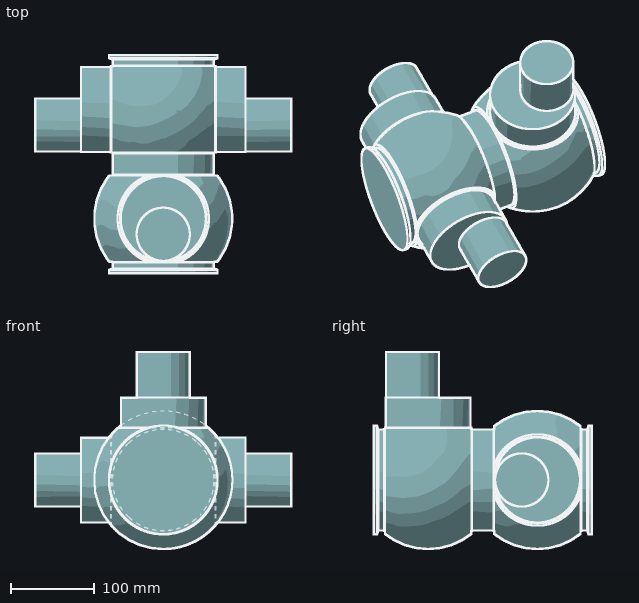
import cadquery as cq

BODY_LENGTH = 130.265
SPHERE_RADIUS = 82.55
SPHERE_WIDTH = 103.2
NECK_RADIUS = 60.4

COLLAR_HEIGHT = 0.9
NECK_COLLAR_STEP = 0.25
DRUM_COLLAR_STEP = 0.8

FLANGE_RADIUS = 65.0
FLANGE_RIM = 4.0
FLANGE_TAPER = 1.6

SPHERE_FLAT = 61.95
DRUM_RADIUS = 50.8
DRUM_END = 98.2
SHAFT_RADIUS = 31.75
SHAFT_END = 152.78
SHAFT_OFFSET = 18.6

FRONT_Y = -BODY_LENGTH / 2
BACK_Y = BODY_LENGTH / 2


def cylinder_from_center(center_y, direction, radius, length):
    """Solid cylinder running from (0, center_y, 0) along direction."""
    return cq.Workplane(
        cq.Solid.makeCylinder(radius, length, cq.Vector(0, center_y, 0), cq.Vector(*direction))
    )


def sphere_body(center_y, flat_directions):
    """Sphere cut flat at both Y ends and under each branch, with a neck collar on the Y flats."""
    sphere = cq.Workplane("XY").sphere(SPHERE_RADIUS)
    size = 2 * SPHERE_RADIUS
    body = sphere.intersect(cq.Workplane("XY").box(size, SPHERE_WIDTH, size))
    for direction in flat_directions:
        shift = tuple(component * (SPHERE_FLAT + SPHERE_RADIUS) for component in direction)
        body = body.cut(cq.Workplane("XY").box(size, size, size).translate(shift))
    collar_span = SPHERE_WIDTH + 2 * COLLAR_HEIGHT
    collars = (
        cq.Workplane("XZ").circle(NECK_RADIUS + NECK_COLLAR_STEP).extrude(collar_span / 2, both=True)
    )
    return body.union(collars).translate((0, center_y, 0))


def branch(center_y, direction):
    """Collar, drum and shaft; the shaft axis is offset toward -Y."""
    collar_radius = DRUM_RADIUS + DRUM_COLLAR_STEP
    collar_end = SPHERE_FLAT + COLLAR_HEIGHT
    collar = cylinder_from_center(center_y, direction, collar_radius, collar_end)
    drum = cylinder_from_center(center_y, direction, DRUM_RADIUS, DRUM_END)
    shaft = cylinder_from_center(center_y - SHAFT_OFFSET, direction, SHAFT_RADIUS, SHAFT_END)
    return collar.union(drum).union(shaft)


def neck_and_flanges():
    """Turned profile along Y: through neck with a clamp flange at each end."""
    end = BODY_LENGTH
    rim = end - FLANGE_RIM
    taper = rim - FLANGE_TAPER
    profile = [
        (0, -end),
        (FLANGE_RADIUS, -end),
        (FLANGE_RADIUS, -rim),
        (NECK_RADIUS, -taper),
        (NECK_RADIUS, taper),
        (FLANGE_RADIUS, rim),
        (FLANGE_RADIUS, end),
        (0, end),
    ]
    return cq.Workplane("XY").polyline(profile).close().revolve(360, (0, 0, 0), (0, 1, 0))


UP = (0, 0, 1)
LEFT = (-1, 0, 0)
RIGHT = (1, 0, 0)

result = neck_and_flanges()
for center_y, directions in ((FRONT_Y, [UP]), (BACK_Y, [LEFT, RIGHT])):
    result = result.union(sphere_body(center_y, directions))
    for direction in directions:
        result = result.union(branch(center_y, direction))